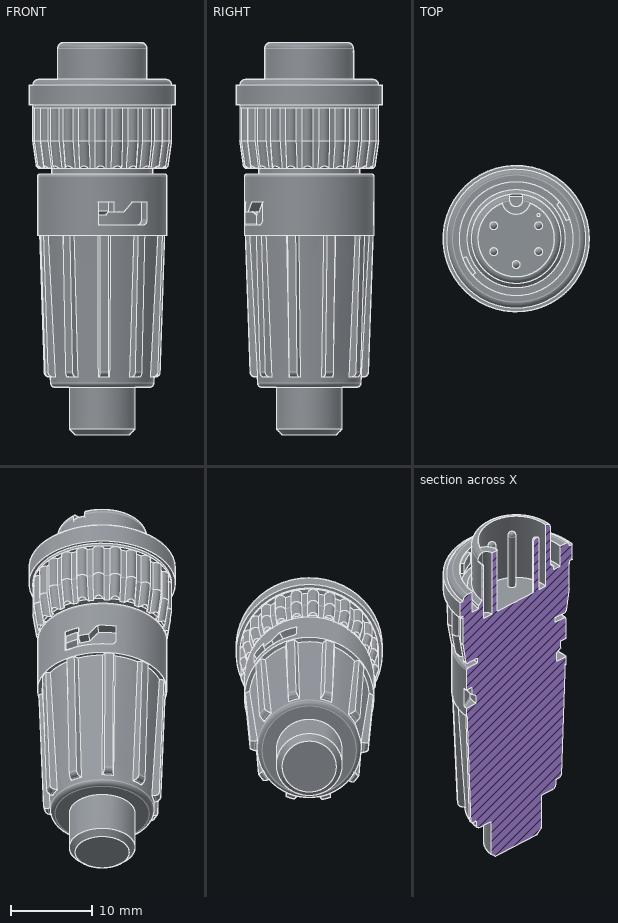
import cadquery as cq
import math

TOTAL_HEIGHT = 48.3

BOSS_RADIUS = 4.05
BOSS_CHAMFER = 0.72

GRIP_BOTTOM_Z = 5.85
GRIP_BOTTOM_RADIUS = 6.4
GRIP_TOP_RADIUS = 7.4
GRIP_EDGE_RADIUS = 0.6

RIB_COUNT = 10
RIB_PHASE = 2.0
RIB_BOTTOM_Z = 7.15
RIB_BOTTOM_RADIUS = 7.3
RIB_TOP_RADIUS = 7.87
RIB_END_RADIUS = 0.6
RIB_ROOT_BOTTOM_WIDTH = 1.45
RIB_ROOT_TOP_WIDTH = 1.65
RIB_CREST_WIDTH = 1.0
RIB_ROOT_OVERLAP = 0.1

SLEEVE_BOTTOM_Z = 24.55
SLEEVE_TOP_Z = 32.15
SLEEVE_RADIUS = 7.95
SLEEVE_EDGE_RADIUS = 0.3
NECK_RADIUS = 6.25

SLOT_AZIMUTH = 26.6
SLOT_FLOOR_RADIUS = 6.45
SLOT_BOTTOM_Z = 25.85
SLOT_STEP_Z = 27.45
SLOT_TOP_Z = 28.65
SLOT_START = -3.95
SLOT_POCKET_END = -2.2
SLOT_RAMP_START = -0.95
SLOT_RAMP_END = 0.15
SLOT_END = 2.35
SLOT_CORNER_RADIUS = 0.65
SLOT_START_CORNER_RADIUS = 0.15
TOOTH_END = -2.45
TOOTH_HEIGHT = 0.7
TOOTH_BOTTOM_Z = 27.05
TOOTH_LIP_Z = 27.6

COLLAR_BOTTOM_Z = 32.8
COLLAR_RADIUS = 8.55
COLLAR_TOP_Z = 43.75
COLLAR_EDGE_RADIUS = 0.72
COLLAR_BORE_RADIUS = 7.0
COLLAR_FLOOR_Z = 40.6
BAND_BOTTOM_Z = 40.65
BAND_TOP_Z = 43.05
BAND_RADIUS = 18.0 / 2

LOBE_COUNT = 24
LOBE_PHASE = -1.5
LOBE_RADIUS = 0.7
LOBE_TAPER_Z = 36.2
LOBE_TOP_Z = 40.25
LOBE_BOTTOM_RADIUS = 8.05
LOBE_BOTTOM_CHAMFER = 0.25
GROOVE_DEPTH = 0.6

LUG_INNER_RADIUS = 6.5
LUG_SPAN = 20.0
LUG_AZIMUTH = 30.0
LUG_BOTTOM_Z = 42.05
LUG_TOP_Z = 43.6

TUBE_RADIUS = 5.5
TUBE_BORE_RADIUS = 4.7
TUBE_EDGE_RADIUS = 0.75
TUBE_FLOOR_Z = 38.65
SEAT_RADIUS = 6.05
SEAT_HEIGHT = 0.5

KEY_Y = 4.75
KEY_RADIUS = 1.75
KEYWAY_WIDTH = 1.6
KEYWAY_OUTER_Y = 5.2
KEYWAY_MOUTH_DEPTH = 1.3

PIN_RADIUS = 0.5
PIN_CIRCLE_RADIUS = 3.2
PIN_TIP_Z = 47.05
PIN_ANGLES = (30, 150, 210, 270, 330)

MARKER_X = 2.75
MARKER_Y = 2.9
MARKER_RADIUS = 0.2
MARKER_DEPTH = 0.5

DIAGONAL = math.sqrt(0.5)


def revolved(profile):
    """Turn a closed (radius, height) outline around the Z axis."""
    return profile.close().revolve(360, (0, 0, 0), (0, 1, 0))


def convex_corner(radius, height, size, top):
    """Middle point of a rounded outer corner whose sharp corner is at (radius, height)."""
    inset = size * (1 - DIAGONAL)
    return (radius - inset, height - inset if top else height + inset)


def around_axis(shape, count, phase=0.0):
    """Copies of a shape evenly spaced around the Z axis."""
    copies = cq.Workplane("XY")
    for index in range(count):
        copies = copies.add(shape.rotate((0, 0, 0), (0, 0, 1), phase + index * 360 / count))
    return copies


def fuse_all(body, copies):
    """Join every copy to the body in one operation."""
    return cq.Workplane(obj=body.val().fuse(*copies.vals()))


def make_rear_body():
    """Cable boss, tapered grip core, locking sleeve and neck as one turned shape."""
    grip_corner = convex_corner(GRIP_BOTTOM_RADIUS, GRIP_BOTTOM_Z, GRIP_EDGE_RADIUS, top=False)
    sleeve_corner = convex_corner(SLEEVE_RADIUS, SLEEVE_TOP_Z, SLEEVE_EDGE_RADIUS, top=True)
    return revolved(
        cq.Workplane("XZ")
        .lineTo(BOSS_RADIUS - BOSS_CHAMFER, 0)
        .lineTo(BOSS_RADIUS, BOSS_CHAMFER)
        .lineTo(BOSS_RADIUS, GRIP_BOTTOM_Z)
        .lineTo(GRIP_BOTTOM_RADIUS - GRIP_EDGE_RADIUS, GRIP_BOTTOM_Z)
        .threePointArc(grip_corner, (GRIP_BOTTOM_RADIUS, GRIP_BOTTOM_Z + GRIP_EDGE_RADIUS))
        .lineTo(GRIP_TOP_RADIUS, SLEEVE_BOTTOM_Z)
        .lineTo(SLEEVE_RADIUS, SLEEVE_BOTTOM_Z)
        .lineTo(SLEEVE_RADIUS, SLEEVE_TOP_Z - SLEEVE_EDGE_RADIUS)
        .threePointArc(sleeve_corner, (SLEEVE_RADIUS - SLEEVE_EDGE_RADIUS, SLEEVE_TOP_Z))
        .lineTo(NECK_RADIUS, SLEEVE_TOP_Z)
        .lineTo(NECK_RADIUS, COLLAR_FLOOR_Z)
        .lineTo(0, COLLAR_FLOOR_Z)
    )


def rib_section(root_radius, crest_radius, root_width):
    """Trapezoid across a rib, with its root sunk a little into the grip core."""
    inner_y = RIB_ROOT_OVERLAP - root_radius
    return [
        (-root_width / 2, inner_y),
        (-RIB_CREST_WIDTH / 2, -crest_radius),
        (RIB_CREST_WIDTH / 2, -crest_radius),
        (root_width / 2, inner_y),
    ]


def make_grip_ribs():
    """Drafted ribs down the grip, following its taper and rounded at the lower end."""
    end_corner = convex_corner(RIB_BOTTOM_RADIUS, RIB_BOTTOM_Z, RIB_END_RADIUS, top=False)
    envelope = revolved(
        cq.Workplane("XZ")
        .moveTo(0, RIB_BOTTOM_Z)
        .lineTo(RIB_BOTTOM_RADIUS - RIB_END_RADIUS, RIB_BOTTOM_Z)
        .threePointArc(end_corner, (RIB_BOTTOM_RADIUS, RIB_BOTTOM_Z + RIB_END_RADIUS))
        .lineTo(RIB_TOP_RADIUS, SLEEVE_BOTTOM_Z)
        .lineTo(0, SLEEVE_BOTTOM_Z)
    )
    bottom_section = rib_section(GRIP_BOTTOM_RADIUS, RIB_BOTTOM_RADIUS, RIB_ROOT_BOTTOM_WIDTH)
    top_section = rib_section(GRIP_TOP_RADIUS, RIB_TOP_RADIUS, RIB_ROOT_TOP_WIDTH)
    bar = (
        cq.Workplane("XY", origin=(0, 0, RIB_BOTTOM_Z))
        .polyline(bottom_section)
        .close()
        .workplane(offset=SLEEVE_BOTTOM_Z - RIB_BOTTOM_Z)
        .polyline(top_section)
        .close()
        .loft(ruled=True)
    )
    return around_axis(bar.intersect(envelope).val(), RIB_COUNT, RIB_PHASE)


def make_slot():
    """L-shaped bayonet slot with a ramped entry and a latch tooth left on its floor."""
    opening = (
        cq.Workplane("XZ")
        .moveTo(SLOT_START, SLOT_BOTTOM_Z + SLOT_START_CORNER_RADIUS)
        .radiusArc((SLOT_START + SLOT_START_CORNER_RADIUS, SLOT_BOTTOM_Z), -SLOT_START_CORNER_RADIUS)
        .lineTo(SLOT_END - SLOT_CORNER_RADIUS, SLOT_BOTTOM_Z)
        .radiusArc((SLOT_END, SLOT_BOTTOM_Z + SLOT_CORNER_RADIUS), -SLOT_CORNER_RADIUS)
        .lineTo(SLOT_END, SLOT_TOP_Z)
        .lineTo(SLOT_RAMP_END, SLOT_TOP_Z)
        .lineTo(SLOT_RAMP_START, SLOT_STEP_Z)
        .lineTo(SLOT_POCKET_END, SLOT_STEP_Z)
        .lineTo(SLOT_POCKET_END, SLOT_TOP_Z)
        .lineTo(SLOT_START, SLOT_TOP_Z)
        .close()
        .extrude(BAND_RADIUS)
    )
    tooth_radius = SLOT_FLOOR_RADIUS + TOOTH_HEIGHT
    core = cq.Workplane("XY").circle(SLOT_FLOOR_RADIUS).extrude(TOTAL_HEIGHT)
    tooth_ring = revolved(
        cq.Workplane("XZ")
        .moveTo(0, TOOTH_BOTTOM_Z)
        .lineTo(SLOT_FLOOR_RADIUS, TOOTH_BOTTOM_Z)
        .lineTo(tooth_radius, TOOTH_LIP_Z)
        .lineTo(tooth_radius, SLOT_TOP_Z)
        .lineTo(0, SLOT_TOP_Z)
    )
    tooth_window = (
        cq.Workplane("XY", origin=(SLOT_START, -SLEEVE_RADIUS, 0))
        .box(TOOTH_END - SLOT_START, SLEEVE_RADIUS, TOTAL_HEIGHT, centered=False)
    )
    return opening.cut(core).cut(tooth_ring.intersect(tooth_window))


def make_collar():
    """Coupling collar: raised band, skirt at grip-groove depth, and the bore around the tube."""
    groove_radius = COLLAR_RADIUS - GROOVE_DEPTH
    edge_corner = convex_corner(COLLAR_RADIUS, COLLAR_TOP_Z, COLLAR_EDGE_RADIUS, top=True)
    return revolved(
        cq.Workplane("XZ")
        .moveTo(0, COLLAR_BOTTOM_Z)
        .lineTo(LOBE_BOTTOM_RADIUS - GROOVE_DEPTH, COLLAR_BOTTOM_Z)
        .lineTo(groove_radius, LOBE_TAPER_Z)
        .lineTo(groove_radius, LOBE_TOP_Z)
        .lineTo(COLLAR_RADIUS, LOBE_TOP_Z)
        .lineTo(COLLAR_RADIUS, BAND_BOTTOM_Z)
        .lineTo(BAND_RADIUS, BAND_BOTTOM_Z)
        .lineTo(BAND_RADIUS, BAND_TOP_Z)
        .lineTo(COLLAR_RADIUS, BAND_TOP_Z)
        .threePointArc(edge_corner, (COLLAR_RADIUS - COLLAR_EDGE_RADIUS, COLLAR_TOP_Z))
        .lineTo(COLLAR_BORE_RADIUS, COLLAR_TOP_Z)
        .lineTo(COLLAR_BORE_RADIUS, COLLAR_FLOOR_Z)
        .lineTo(0, COLLAR_FLOOR_Z)
    )


def make_collar_lobes():
    """Round finger-grip lobes: upright above, leaning inward below."""
    upper_y = LOBE_RADIUS - COLLAR_RADIUS
    lower_y = LOBE_RADIUS - LOBE_BOTTOM_RADIUS
    foot_radius = LOBE_BOTTOM_RADIUS - LOBE_BOTTOM_CHAMFER
    upright = (
        cq.Workplane("XY", origin=(0, upper_y, LOBE_TAPER_Z))
        .circle(LOBE_RADIUS)
        .extrude(LOBE_TOP_Z - LOBE_TAPER_Z)
    )
    lean = cq.Vector(0, upper_y - lower_y, LOBE_TAPER_Z - COLLAR_BOTTOM_Z)
    foot = cq.Vector(0, lower_y, COLLAR_BOTTOM_Z)
    rod = cq.Solid.makeCylinder(LOBE_RADIUS, 2 * lean.Length, foot - lean * 0.5, lean)
    skirt_envelope = revolved(
        cq.Workplane("XZ")
        .moveTo(0, COLLAR_BOTTOM_Z)
        .lineTo(foot_radius, COLLAR_BOTTOM_Z)
        .lineTo(BAND_RADIUS, COLLAR_BOTTOM_Z + BAND_RADIUS - foot_radius)
        .lineTo(BAND_RADIUS, LOBE_TAPER_Z)
        .lineTo(0, LOBE_TAPER_Z)
    )
    leaning = cq.Workplane(obj=rod).intersect(skirt_envelope)
    lower_lobes = around_axis(leaning.val(), LOBE_COUNT, LOBE_PHASE)
    return around_axis(upright.val(), LOBE_COUNT, LOBE_PHASE).add(lower_lobes)


def make_lugs():
    """Two opposite bayonet lugs standing inward from the collar bore."""
    outer_radius = (COLLAR_BORE_RADIUS + COLLAR_RADIUS) / 2
    lug = (
        cq.Workplane("XZ")
        .moveTo(LUG_INNER_RADIUS, LUG_BOTTOM_Z)
        .lineTo(outer_radius, LUG_BOTTOM_Z)
        .lineTo(outer_radius, LUG_TOP_Z)
        .lineTo(LUG_INNER_RADIUS, LUG_TOP_Z)
        .close()
        .revolve(LUG_SPAN, (0, 0, 0), (0, 1, 0))
        .rotate((0, 0, 0), (0, 0, 1), LUG_AZIMUTH - LUG_SPAN / 2)
    )
    return around_axis(lug.val(), 2)


def make_tube():
    """Plug tube with a rounded rim and a chamfered seat on the collar floor."""
    seat_top = COLLAR_FLOOR_Z + SEAT_HEIGHT
    rim_corner = convex_corner(TUBE_RADIUS, TOTAL_HEIGHT, TUBE_EDGE_RADIUS, top=True)
    return revolved(
        cq.Workplane("XZ")
        .moveTo(0, COLLAR_BOTTOM_Z)
        .lineTo(SEAT_RADIUS, COLLAR_BOTTOM_Z)
        .lineTo(SEAT_RADIUS, seat_top)
        .lineTo(TUBE_RADIUS, seat_top + SEAT_RADIUS - TUBE_RADIUS)
        .lineTo(TUBE_RADIUS, TOTAL_HEIGHT - TUBE_EDGE_RADIUS)
        .threePointArc(rim_corner, (TUBE_RADIUS - TUBE_EDGE_RADIUS, TOTAL_HEIGHT))
        .lineTo(0, TOTAL_HEIGHT)
    )


def make_tube_bore():
    """Open space inside the tube, leaving the keyed rib on its +Y side,
    with the keyway sloping out through the rim."""
    depth = TOTAL_HEIGHT - TUBE_FLOOR_Z
    floor_plane = cq.Workplane("XY", origin=(0, 0, TUBE_FLOOR_Z))
    bore = floor_plane.circle(TUBE_BORE_RADIUS).extrude(depth)
    key = floor_plane.center(0, KEY_Y).circle(KEY_RADIUS).extrude(depth)
    half_width = KEYWAY_WIDTH / 2
    keyway = (
        floor_plane
        .moveTo(-half_width, KEYWAY_OUTER_Y)
        .lineTo(-half_width, KEY_Y)
        .threePointArc((0, KEY_Y - half_width), (half_width, KEY_Y))
        .lineTo(half_width, KEYWAY_OUTER_Y)
        .close()
        .extrude(depth)
    )
    mouth = (
        cq.Workplane("YZ", origin=(-half_width, 0, 0))
        .moveTo(KEYWAY_OUTER_Y, TOTAL_HEIGHT - KEYWAY_MOUTH_DEPTH)
        .lineTo(KEYWAY_OUTER_Y + KEYWAY_MOUTH_DEPTH, TOTAL_HEIGHT)
        .lineTo(KEYWAY_OUTER_Y, TOTAL_HEIGHT)
        .close()
        .extrude(KEYWAY_WIDTH)
    )
    return bore.cut(key).union(keyway).union(mouth)


def make_pin():
    """Contact pin with a hemispherical tip."""
    shoulder_z = PIN_TIP_Z - PIN_RADIUS
    return revolved(
        cq.Workplane("XZ")
        .moveTo(0, COLLAR_BOTTOM_Z)
        .lineTo(PIN_RADIUS, COLLAR_BOTTOM_Z)
        .lineTo(PIN_RADIUS, shoulder_z)
        .threePointArc((PIN_RADIUS * DIAGONAL, shoulder_z + PIN_RADIUS * DIAGONAL), (0, PIN_TIP_Z))
    )


slots = around_axis(make_slot().val(), 2, SLOT_AZIMUTH)
result = fuse_all(make_rear_body(), make_grip_ribs())
for slot_copy in slots.vals():
    result = result.cut(cq.Workplane(obj=slot_copy))

result = result.union(make_collar())
result = fuse_all(result, make_collar_lobes())
result = fuse_all(result, make_lugs())

result = result.union(make_tube()).cut(make_tube_bore())
pins = cq.Workplane("XY")
for angle in PIN_ANGLES:
    pin_x = PIN_CIRCLE_RADIUS * math.cos(math.radians(angle))
    pin_y = PIN_CIRCLE_RADIUS * math.sin(math.radians(angle))
    pins = pins.add(make_pin().translate((pin_x, pin_y, 0)))
result = fuse_all(result, pins)

marker_hole = (
    cq.Workplane("XY", origin=(MARKER_X, MARKER_Y, TUBE_FLOOR_Z - MARKER_DEPTH))
    .circle(MARKER_RADIUS)
    .extrude(MARKER_DEPTH)
)
result = result.cut(marker_hole)